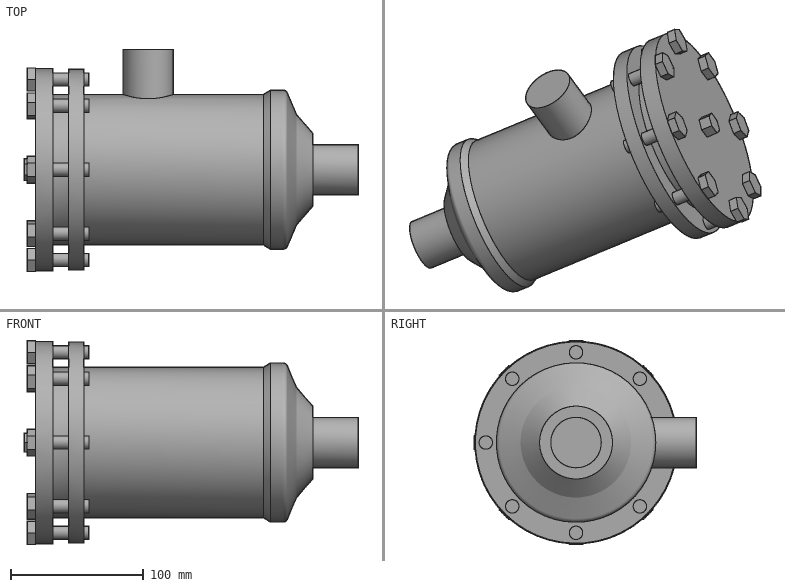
import cadquery as cq
import math


plug_height = 2.3
bolt_head_height = 6.3
cover_start = plug_height + bolt_head_height
cover_thickness = 13.1
cover_end = cover_start + cover_thickness
cover_diameter = 153.0
flange_gap = 11.9
flange_start = cover_end + flange_gap
flange_thickness = 11.5
flange_end = flange_start + flange_thickness
flange_diameter = 152.0

bolt_count = 8
bolt_circle_radius = 68.2
bolt_head_flats = 17.7
bolt_diameter = 10.0
bolt_protrusion = 3.8
plug_flats = 14.5

total_length = 252.5
shell_diameter = 114.0
cap_diameter = 120.5
cap_start = 180.8
cap_rim_start = 186.0
cap_rim_end = 195.5
cap_edge_radius = 3.8
steep_cone_end = 205.8
steep_cone_angle = 67.0
shallow_cone_end = 218.2
shallow_cone_end_radius = 27.5
pipe_diameter = 38.1
inlet_position = 93.7
inlet_reach = 91.0


def axial_cylinder(diameter, start, end):
    return cq.Workplane("YZ").workplane(offset=start).circle(diameter / 2).extrude(end - start)


def hexagon(flats, start, end):
    """Hexagonal prism along X with flats facing +Z and -Z."""
    corner_diameter = flats / math.cos(math.radians(30))
    return cq.Workplane("YZ").workplane(offset=start).polygon(6, corner_diameter).extrude(end - start)


def end_cap():
    """Revolved cap: raised rim, rounded edge, then a steep and a shallow cone."""
    rim_radius = cap_diameter / 2
    angle = math.radians(steep_cone_angle)

    def edge_point(turn):
        return (
            cap_rim_end + cap_edge_radius * math.sin(turn),
            rim_radius - cap_edge_radius * (1 - math.cos(turn)),
        )

    edge_end = edge_point(angle)
    steep_cone_end_radius = edge_end[1] - (steep_cone_end - edge_end[0]) * math.tan(angle)
    profile = (
        cq.Workplane("XY")
        .moveTo(cap_start, 0)
        .lineTo(cap_start, shell_diameter / 2)
        .lineTo(cap_rim_start, rim_radius)
        .lineTo(cap_rim_end, rim_radius)
        .threePointArc(edge_point(angle / 2), edge_end)
        .lineTo(steep_cone_end, steep_cone_end_radius)
        .lineTo(shallow_cone_end, shallow_cone_end_radius)
        .lineTo(shallow_cone_end, 0)
        .close()
    )
    return profile.revolve(360, (0, 0, 0), (1, 0, 0))


def inlet_pipe():
    """Side pipe rising from the vessel axis toward +Y."""
    return (
        cq.Workplane("XZ")
        .center(inlet_position, 0)
        .circle(pipe_diameter / 2)
        .extrude(-inlet_reach)
    )


def bolt():
    """Bolt at the top of the bolt circle, head outside the cover."""
    head = hexagon(bolt_head_flats, plug_height, cover_start)
    shank = axial_cylinder(bolt_diameter, cover_start, flange_end + bolt_protrusion)
    return head.union(shank).translate((0, 0, bolt_circle_radius))


vessel = (
    axial_cylinder(cover_diameter, cover_start, cover_end)
    .union(axial_cylinder(flange_diameter, flange_start, flange_end))
    .union(axial_cylinder(shell_diameter, cover_end, cap_start))
    .union(end_cap())
    .union(axial_cylinder(pipe_diameter, shallow_cone_end, total_length))
    .union(inlet_pipe())
    .union(hexagon(plug_flats, 0, cover_start))
)

for index in range(bolt_count):
    bolt_angle = index * 360 / bolt_count
    vessel = vessel.union(bolt().rotate((0, 0, 0), (1, 0, 0), bolt_angle))

result = vessel